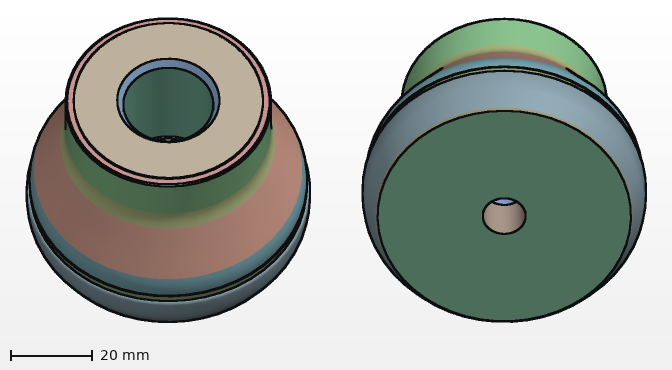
import cadquery as cq
import math

total_height = 50.0
split_height = 12.7

flank_angle = math.radians(28)
blend_radius = 10.0
blend_height = blend_radius * math.sin(flank_angle)
blend_inset = blend_radius * (1 - math.cos(flank_angle))
half_blend_height = blend_radius * math.sin(flank_angle / 2)
half_blend_inset = blend_radius * (1 - math.cos(flank_angle / 2))

collar_radius = 50.4 / 2
collar_bottom = 37.55
collar_chamfer = 0.4
boss_radius = 46.4 / 2
boss_height = 0.4
shoulder_radius = 34.1
shoulder_bottom = 15.0
neck_radius = 33.85

bore_radius = 22.05 / 2
bore_depth = 31.3
bore_mouth_radius = 12.5
bore_mouth_depth = 1.75
bore_floor_chamfer = 0.4
through_radius = 10.5 / 2

base_radius = 34.75
base_widest = 11.1
base_flank_radius = 33.6
base_flank_top = 4.3
base_edge_height = 0.55
base_edge_inset = 0.55

collar_top = total_height - boss_height
flank_top = collar_bottom - blend_height
flank_top_radius = collar_radius + blend_inset
flank_bottom_radius = shoulder_radius - blend_inset
flank_bottom = flank_top - (flank_bottom_radius - flank_top_radius) / math.tan(flank_angle)
shoulder_widest = flank_bottom - blend_height
shoulder_drop = shoulder_widest - shoulder_bottom
shoulder_foot_radius = shoulder_radius - blend_radius + math.sqrt(blend_radius**2 - shoulder_drop**2)
bore_floor = total_height - bore_depth
base_edge_radius = base_flank_radius - (base_flank_top - base_edge_height) * math.tan(flank_angle)


def revolve_about_z(profile):
    """Turn a closed radius-height profile into a solid around Z."""
    return profile.close().revolve(360, (0, 0, 0), (0, 1, 0))


def make_bore():
    """Stepped cavity: flared mouth, chamfered floor and through hole."""
    return revolve_about_z(
        cq.Workplane("XZ")
        .lineTo(through_radius, 0)
        .lineTo(through_radius, bore_floor)
        .lineTo(bore_radius - bore_floor_chamfer, bore_floor)
        .lineTo(bore_radius, bore_floor + bore_floor_chamfer)
        .lineTo(bore_radius, total_height - bore_mouth_depth)
        .lineTo(bore_mouth_radius, total_height)
        .lineTo(0, total_height)
    )


def make_housing():
    """Bell-shaped upper body with a cylindrical collar and a low raised face."""
    body = revolve_about_z(
        cq.Workplane("XZ")
        .moveTo(0, split_height)
        .lineTo(neck_radius, split_height)
        .lineTo(neck_radius, shoulder_bottom)
        .lineTo(shoulder_foot_radius, shoulder_bottom)
        .threePointArc(
            (shoulder_radius, shoulder_widest),
            (flank_bottom_radius, flank_bottom),
        )
        .lineTo(flank_top_radius, flank_top)
        .threePointArc(
            (collar_radius + half_blend_inset, collar_bottom - half_blend_height),
            (collar_radius, collar_bottom),
        )
        .lineTo(collar_radius, collar_top - collar_chamfer)
        .lineTo(collar_radius - collar_chamfer, collar_top)
        .lineTo(boss_radius, collar_top)
        .lineTo(boss_radius, total_height)
        .lineTo(0, total_height)
    )
    return body.cut(make_bore())


def make_base():
    """Foot ring with a smoothly bulging side that tapers towards the ground."""
    flank_direction = (math.sin(flank_angle), math.cos(flank_angle))
    return revolve_about_z(
        cq.Workplane("XZ")
        .moveTo(through_radius, 0)
        .lineTo(base_edge_radius - base_edge_inset, 0)
        .lineTo(base_edge_radius, base_edge_height)
        .spline(
            [
                (base_flank_radius, base_flank_top),
                (base_radius, base_widest),
                (neck_radius, split_height),
            ],
            tangents=[flank_direction, flank_direction, (0, 1), (-1, 0)],
            includeCurrent=True,
        )
        .lineTo(through_radius, split_height)
    )


housing = make_housing()
base = make_base()

result = cq.Compound.makeCompound([housing.val(), base.val()])